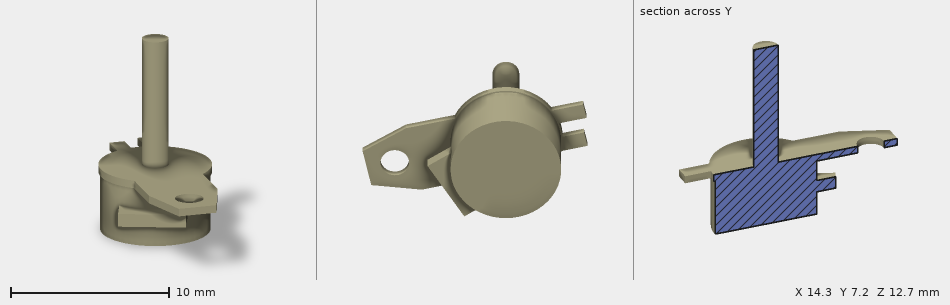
import cadquery as cq

body_diameter = 7.0
body_height = 3.8

plate_diameter = 7.2
plate_thickness = 0.5
plate_top = body_height + plate_thickness

shaft_diameter = 1.7
shaft_length = 8.4

overall_length = 14.35

arm_end = 9.01
arm_taper_start = 5.97
arm_half_width = 2.27
arm_end_half_width = 1.25
hole_x = 7.2
hole_diameter = 1.81

long_prong_reach = overall_length - arm_end
short_prong_reach = 4.95
prong_width = 0.99
prong_gap = 0.99
prong_offset = (prong_gap + prong_width) / 2

tab_reach = 4.5
tab_width = 4.3
tab_thickness = 0.85
tab_top = body_height - 1.36
tab_angle = -20


def make_prong(reach, center_y):
    """Rectangular prong from the shaft axis to -reach along X."""
    return (
        cq.Workplane("XY", origin=(0, 0, body_height))
        .center(-reach / 2, center_y)
        .rect(reach, prong_width)
        .extrude(plate_thickness)
    )


def make_plate():
    """Disc with a tapered arm, two prongs and a mounting hole."""
    plane = cq.Workplane("XY", origin=(0, 0, body_height))
    disc = plane.circle(plate_diameter / 2).extrude(plate_thickness)
    arm = (
        plane.moveTo(0, -arm_half_width)
        .lineTo(arm_taper_start, -arm_half_width)
        .lineTo(arm_end, -arm_end_half_width)
        .lineTo(arm_end, arm_end_half_width)
        .lineTo(arm_taper_start, arm_half_width)
        .lineTo(0, arm_half_width)
        .close()
        .extrude(plate_thickness)
    )
    hole = plane.center(hole_x, 0).circle(hole_diameter / 2).extrude(plate_thickness)
    long_prong = make_prong(long_prong_reach, prong_offset)
    short_prong = make_prong(short_prong_reach, -prong_offset)
    return disc.union(arm).union(long_prong).union(short_prong).cut(hole)


def make_tab():
    """Flat rectangular tab projecting from the side of the body."""
    return (
        cq.Workplane("XY", origin=(0, 0, tab_top - tab_thickness))
        .center(tab_reach / 2, 0)
        .rect(tab_reach, tab_width)
        .extrude(tab_thickness)
        .rotate((0, 0, 0), (0, 0, 1), tab_angle)
    )


body = cq.Workplane("XY").circle(body_diameter / 2).extrude(body_height)
shaft = (
    cq.Workplane("XY", origin=(0, 0, plate_top))
    .circle(shaft_diameter / 2)
    .extrude(shaft_length)
)

result = body.union(make_tab()).union(make_plate()).union(shaft)